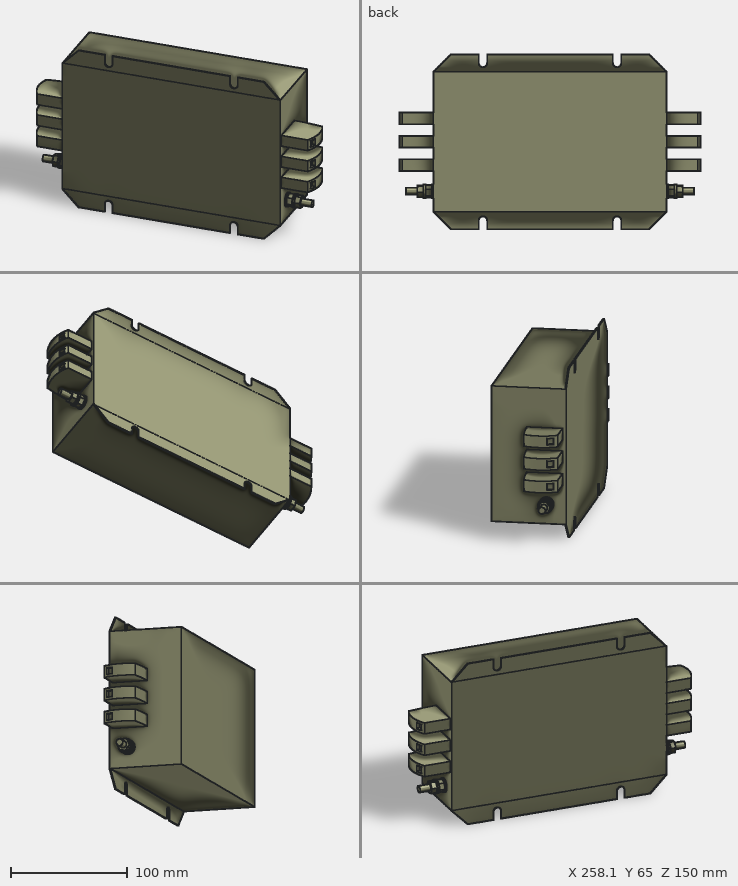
import cadquery as cq
import math

box_length = 200.0
box_height = 120.0
overall_depth = 65.05
plate_height = 150.0
plate_thickness = 1.0
plate_corner = (plate_height - box_height) / 2

slot_offset = 57.5
slot_width = 7.0
slot_depth = 11.0

block_height = 10.2
block_pitch = 20.0
block_reach = 29.03
block_front = 3.2
block_back = 34.3
block_front_reach = 24.0
block_back_reach = 26.6
block_back_drop = 2.2
block_crest = 20.0
back_bow = 0.45

entry_size = 5.7
entry_depth = 2.0
entry_center = 9.3

stud_y = 17.0
stud_z = -42.4
stud_diameter = 6.0
stud_length = 23.5
nut_across_corners = 11.3
washer_diameter = 12.4
base_washer_thickness = 1.5
inner_nut_end = 6.7
washer_end = 8.6
outer_nut_end = 13.6
inner_nut_angle = 42.5
outer_nut_angle = 8.5

end_x = box_length / 2


def make_enclosure():
    box = cq.Workplane("XY").box(
        box_length, overall_depth, box_height, centered=(True, False, True)
    )
    plate = (
        cq.Workplane("XY")
        .box(box_length, plate_thickness, plate_height, centered=(True, False, True))
        .edges("|Y")
        .chamfer(plate_corner)
    )
    return box.union(plate)


def make_slot(x, side):
    """Cutter for one plate slot; side is +1 at the top edge, -1 at the bottom edge."""
    half_width = slot_width / 2
    edge_z = side * plate_height / 2
    round_z = edge_z - side * (slot_depth - half_width)
    tip_z = edge_z - side * slot_depth
    return (
        cq.Workplane("XZ")
        .moveTo(x - half_width, edge_z)
        .lineTo(x - half_width, round_z)
        .threePointArc((x, tip_z), (x + half_width, round_z))
        .lineTo(x + half_width, edge_z)
        .close()
        .extrude(-plate_thickness)
    )


def make_terminal():
    """Terminal block on the +X end at mid height, with its wire entry."""
    back_tip_y = block_back - block_back_drop
    front_tip = (end_x + block_front_reach, block_front)
    back_tip = (end_x + block_back_reach, back_tip_y)
    crest = (end_x + block_reach, block_crest)
    back_mid = (end_x + block_back_reach / 2, (block_back + back_tip_y) / 2 + back_bow)
    block = (
        cq.Workplane("XY")
        .workplane(offset=-block_height / 2)
        .moveTo(end_x, block_front)
        .lineTo(*front_tip)
        .threePointArc(crest, back_tip)
        .threePointArc(back_mid, (end_x, block_back))
        .close()
        .extrude(block_height)
    )

    chord_x = crest[0] - front_tip[0]
    chord_y = crest[1] - front_tip[1]
    chord_angle = math.degrees(math.atan2(chord_x, chord_y))
    entry_x = front_tip[0] + chord_x * (entry_center - front_tip[1]) / chord_y
    entry = (
        cq.Workplane("XY")
        .box(2 * entry_depth, entry_size, entry_size)
        .rotate((0, 0, 0), (0, 0, 1), -chord_angle)
        .translate((entry_x, entry_center, 0))
    )
    return block.cut(entry)


def stud_section(start):
    """Workplane on the stud axis, a given distance outside the +X end."""
    return cq.Workplane("YZ", origin=(end_x + start, stud_y, stud_z))


def make_nut(start, end, angle):
    nut = stud_section(start).polygon(6, nut_across_corners).extrude(end - start)
    axis_start = (0, stud_y, stud_z)
    axis_end = (1, stud_y, stud_z)
    return nut.rotate(axis_start, axis_end, -angle)


def make_stud():
    washer_radius = washer_diameter / 2
    stud = stud_section(0).circle(stud_diameter / 2).extrude(stud_length)
    base_washer = stud_section(0).circle(washer_radius).extrude(base_washer_thickness)
    washer = stud_section(inner_nut_end).circle(washer_radius).extrude(washer_end - inner_nut_end)
    inner_nut = make_nut(base_washer_thickness, inner_nut_end, inner_nut_angle)
    outer_nut = make_nut(washer_end, outer_nut_end, outer_nut_angle)
    return stud.union(base_washer).union(inner_nut).union(washer).union(outer_nut)


result = make_enclosure()

for slot_x in (-slot_offset, slot_offset):
    for edge_side in (-1, 1):
        result = result.cut(make_slot(slot_x, edge_side))

terminal = make_terminal()
end_fittings = [make_stud()]
for row in (-1, 0, 1):
    end_fittings.append(terminal.translate((0, 0, row * block_pitch)))

for fitting in end_fittings:
    result = result.union(fitting).union(fitting.mirror("YZ"))